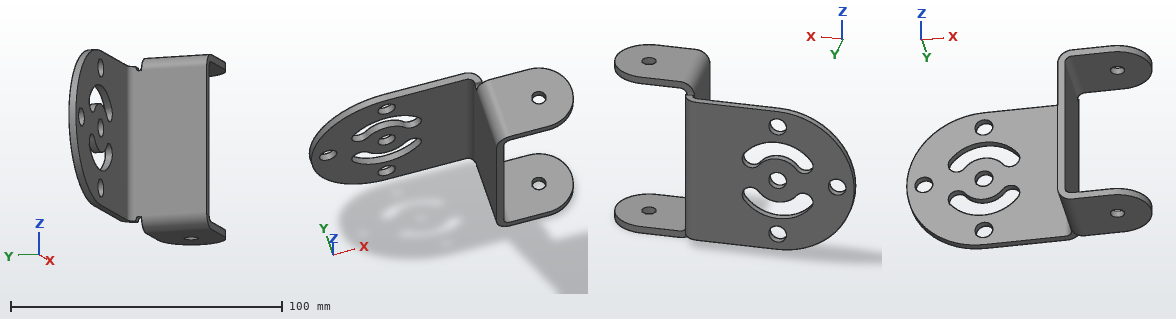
import cadquery as cq
import math


length = 95.0
depth = 32.8
height = 65.6
sheet = 2.8
bend_inner_radius = 2.7
bend_outer_radius = bend_inner_radius + sheet

plate_radius = 29.0
plate_hole_diameter = 6.65
plate_hole_circle_radius = 22.5
plate_hole_angles = (90, 180, 270)
slot_inner_radius = 9.0
slot_outer_radius = 16.0
slot_mean_radius = (slot_inner_radius + slot_outer_radius) / 2
slot_width = slot_outer_radius - slot_inner_radius
slot_half_sweep = 52.5
slot_directions = (90, 270)
plate_corner_radius = 0.6

relief_width = 2.0
relief_radius = relief_width / 2

web_outer_x = 36.0
web_inner_x = web_outer_x - sheet
plate_bend_start_x = web_outer_x - bend_outer_radius
plate_bend_end_y = -bend_outer_radius
flange_end_x = length - plate_radius
flange_back_y = plate_bend_end_y - relief_width
flange_width = depth + flange_back_y
flange_radius = flange_width / 2
flange_center_x = flange_end_x - flange_radius
flange_center_y = flange_back_y - flange_radius
flange_hole_diameter = 5.2
half_height = height / 2
web_half_height = half_height - bend_outer_radius
flange_bend_end_x = web_inner_x + bend_outer_radius

DIAGONAL = math.sqrt(0.5)


def polar(radius, angle):
    """Point at the given radius and angle in degrees about the origin."""
    return radius * math.cos(math.radians(angle)), radius * math.sin(math.radians(angle))


def front_workplane():
    """Plane on the plate's back face with local axes X and Z; extruding runs toward -Y."""
    return cq.Workplane("XZ")


def make_flat_plate():
    """Flat part of the mounting plate, with its round end."""
    straight = front_workplane().rect(plate_bend_start_x, 2 * plate_radius).extrude(sheet)
    straight = straight.translate((plate_bend_start_x / 2, 0, 0))
    return straight.union(front_workplane().circle(plate_radius).extrude(sheet))


def make_plate_bend():
    """Quarter bend from the plate into the web, with its two free corners rounded."""
    bend = (
        cq.Workplane("XY", origin=(plate_bend_start_x, -bend_outer_radius, -plate_radius))
        .moveTo(0, bend_inner_radius)
        .lineTo(0, bend_outer_radius)
        .threePointArc((bend_outer_radius * DIAGONAL, bend_outer_radius * DIAGONAL), (bend_outer_radius, 0))
        .lineTo(bend_inner_radius, 0)
        .threePointArc((bend_inner_radius * DIAGONAL, bend_inner_radius * DIAGONAL), (0, bend_inner_radius))
        .close()
        .extrude(2 * plate_radius)
    )
    return bend.faces("<Y").edges("|X").fillet(plate_corner_radius)


def make_relief_bridge():
    """Strip of web between the plate bend and the flanges, ending in round-bottomed relief notches."""
    notch_center_z = web_half_height + relief_radius
    bridge_center_y = (plate_bend_end_y + flange_back_y) / 2
    origin = (web_inner_x, bridge_center_y, 0)
    bridge = cq.Workplane("YZ", origin=origin).rect(relief_width, 2 * notch_center_z).extrude(sheet)
    notches = (
        cq.Workplane("YZ", origin=origin)
        .pushPoints([(0, notch_center_z), (0, -notch_center_z)])
        .circle(relief_radius)
        .extrude(sheet)
    )
    return bridge.cut(notches)


def make_channel():
    """Web and both flanges as a constant-thickness channel, open toward +X."""
    inner_half_height = half_height - sheet
    outer_arc_offset = bend_outer_radius * DIAGONAL
    inner_arc_offset = bend_inner_radius * DIAGONAL
    channel = (
        cq.Workplane("XZ", origin=(0, flange_back_y, 0))
        .moveTo(flange_end_x, half_height)
        .lineTo(flange_bend_end_x, half_height)
        .threePointArc(
            (flange_bend_end_x - outer_arc_offset, web_half_height + outer_arc_offset),
            (web_inner_x, web_half_height),
        )
        .lineTo(web_inner_x, -web_half_height)
        .threePointArc(
            (flange_bend_end_x - outer_arc_offset, -web_half_height - outer_arc_offset),
            (flange_bend_end_x, -half_height),
        )
        .lineTo(flange_end_x, -half_height)
        .lineTo(flange_end_x, -inner_half_height)
        .lineTo(flange_bend_end_x, -inner_half_height)
        .threePointArc(
            (flange_bend_end_x - inner_arc_offset, -web_half_height - inner_arc_offset),
            (web_outer_x, -web_half_height),
        )
        .lineTo(web_outer_x, web_half_height)
        .threePointArc(
            (flange_bend_end_x - inner_arc_offset, web_half_height + inner_arc_offset),
            (flange_bend_end_x, inner_half_height),
        )
        .lineTo(flange_end_x, inner_half_height)
        .close()
        .extrude(flange_width)
    )
    return channel.intersect(make_flange_envelope())


def make_flange_envelope():
    """Full-height block with a round +X end and the flange holes; it trims the channel in plan."""
    plan = (
        cq.Workplane("XY", origin=(0, 0, -half_height))
        .moveTo(web_inner_x, flange_back_y)
        .lineTo(flange_center_x, flange_back_y)
        .threePointArc((flange_end_x, flange_center_y), (flange_center_x, -depth))
        .lineTo(web_inner_x, -depth)
        .close()
        .extrude(height)
    )
    hole = (
        cq.Workplane("XY", origin=(flange_center_x, flange_center_y, -half_height))
        .circle(flange_hole_diameter / 2)
        .extrude(height)
    )
    return plan.cut(hole)


def make_plate_holes():
    """Centre hole and the three holes around it."""
    hole_points = [(0, 0)] + [polar(plate_hole_circle_radius, angle) for angle in plate_hole_angles]
    return front_workplane().pushPoints(hole_points).circle(plate_hole_diameter / 2).extrude(sheet)


def make_arc_slot(direction):
    """Curved adjustment slot centred on the given direction, with round ends."""
    start = direction - slot_half_sweep
    end = direction + slot_half_sweep
    band = (
        front_workplane()
        .moveTo(*polar(slot_inner_radius, start))
        .lineTo(*polar(slot_outer_radius, start))
        .threePointArc(polar(slot_outer_radius, direction), polar(slot_outer_radius, end))
        .lineTo(*polar(slot_inner_radius, end))
        .threePointArc(polar(slot_inner_radius, direction), polar(slot_inner_radius, start))
        .close()
        .extrude(sheet)
    )
    end_points = [polar(slot_mean_radius, start), polar(slot_mean_radius, end)]
    return band.union(front_workplane().pushPoints(end_points).circle(slot_width / 2).extrude(sheet))


def make_bracket():
    """Complete bent-sheet bracket."""
    plate = make_flat_plate().cut(make_plate_holes())
    for direction in slot_directions:
        plate = plate.cut(make_arc_slot(direction))
    return plate.union(make_plate_bend()).union(make_relief_bridge()).union(make_channel())


bracket = make_bracket().solids()

result = cq.Compound.makeCompound([bracket.val()])